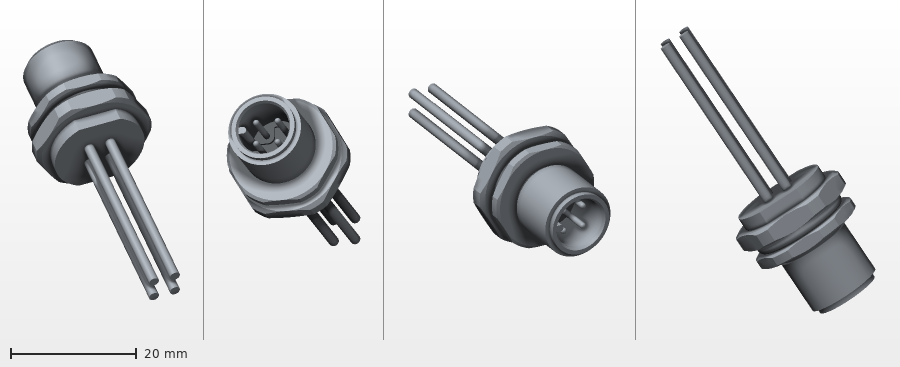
import cadquery as cq
import math


nose_end = 1.0
body_end = 10.0
front_nut_start = 11.0
front_nut_end = 13.0
rear_nut_start = 14.8
rear_nut_end = 17.8
collar_end = 20.0
total_length = 50.0

nose_radius = 5.2
body_radius = 6.0
neck_radius = 5.4

front_nut_flats = 17.0
front_nut_radius = 9.0
rear_nut_flats = 18.0
rear_nut_radius = 9.75
nut_chamfer_angle = math.radians(30)

ring_thickness = rear_nut_start - front_nut_end
ring_outer_radius = 7.9
ring_center_radius = ring_outer_radius - ring_thickness / 2

collar_radius = 7.6
collar_flats = 13.5

socket_radius = 4.2
socket_mouth_radius = 4.5
mouth_depth = 0.5
socket_floor = 9.0

cross_reach = 3.25
cross_width = 1.1
cross_fillet = 1.1
cross_depth = 0.5

key_start = mouth_depth
key_width = cross_width
key_inner = 2.9
key_root = (socket_radius + nose_radius) / 2

pitch_radius = 2.5
contact_offset = pitch_radius * math.sin(math.radians(45))
pin_radius = 0.5
pin_start = 2.0
wire_diameter = 1.65


def rod(radius, start, end, y=0, z=0):
    """Round bar parallel to X."""
    return cq.Workplane("YZ", origin=(start, y, z)).circle(radius).extrude(end - start)


def revolve_about_axis(profile):
    """Turn a closed (X, radius) profile about the X axis."""
    return profile.close().revolve(360, (0, 0, 0), (1, 0, 0))


def hex_nut(start, end, across_flats, corner_radius):
    """Hexagon with flats facing +Z and -Z, its corners turned round and chamfered."""
    face_radius = across_flats / 2
    chamfer = (corner_radius - face_radius) * math.tan(nut_chamfer_angle)
    corner_diameter = across_flats / math.cos(math.radians(30))
    plane = cq.Workplane("YZ", origin=(start, 0, 0))
    hexagon = plane.polygon(6, corner_diameter).extrude(end - start)
    turned = revolve_about_axis(
        cq.Workplane("XY")
        .moveTo(start, 0)
        .lineTo(start, face_radius)
        .lineTo(start + chamfer, corner_radius)
        .lineTo(end - chamfer, corner_radius)
        .lineTo(end, face_radius)
        .lineTo(end, 0)
    )
    return hexagon.intersect(turned)


def o_ring():
    """Ring held between the hexagons, filled by the shank that carries it."""
    middle = (front_nut_end + rear_nut_start) / 2
    return revolve_about_axis(
        cq.Workplane("XY")
        .moveTo(front_nut_end, 0)
        .lineTo(front_nut_end, ring_center_radius)
        .threePointArc((middle, ring_outer_radius), (rear_nut_start, ring_center_radius))
        .lineTo(rear_nut_start, 0)
    )


def collar():
    """Round collar with flats facing +Z and -Z."""
    length = collar_end - rear_nut_end
    plane = cq.Workplane("YZ", origin=(rear_nut_end, 0, 0))
    flats = plane.rect(2 * collar_radius, collar_flats).extrude(length)
    return rod(collar_radius, rear_nut_end, collar_end).intersect(flats)


def socket():
    """Blind bore with a tapered mouth."""
    return revolve_about_axis(
        cq.Workplane("XY")
        .lineTo(0, socket_mouth_radius)
        .lineTo(mouth_depth, socket_radius)
        .lineTo(socket_floor, socket_radius)
        .lineTo(socket_floor, 0)
    )


def floor_cross():
    """Cross with rounded inner corners, sunk into the socket floor."""
    plane = cq.Workplane("YZ", origin=(socket_floor, 0, 0))
    upright = plane.rect(cross_width, 2 * cross_reach).extrude(cross_depth)
    level = plane.rect(2 * cross_reach, cross_width).extrude(cross_depth)
    inner_corners = cq.selectors.BoxSelector(
        (socket_floor - cross_depth, -cross_width, -cross_width),
        (socket_floor + 2 * cross_depth, cross_width, cross_width),
    )
    return upright.union(level).edges("|X").edges(inner_corners).fillet(cross_fillet)


def key_rail():
    """Rail on the +Y side with a round inner edge, rooted in the shell wall and the floor."""
    half = key_width / 2
    round_center = key_inner + half
    return (
        cq.Workplane("YZ", origin=(key_start, 0, 0))
        .moveTo(key_root, half)
        .lineTo(round_center, half)
        .threePointArc((key_inner, 0), (round_center, -half))
        .lineTo(key_root, -half)
        .close()
        .extrude(socket_floor + cross_depth - key_start)
    )


def pin(y, z):
    """Contact pin with a domed tip, rooted behind the socket floor."""
    tip_center = pin_start + pin_radius
    dome = cq.Workplane("XY").sphere(pin_radius).translate((tip_center, y, z))
    return rod(pin_radius, tip_center, body_end, y, z).union(dome)


result = rod(nose_radius, 0, nose_end)
result = result.union(rod(body_radius, nose_end, body_end))
result = result.union(rod(neck_radius, body_end, front_nut_start))
result = result.union(hex_nut(front_nut_start, front_nut_end, front_nut_flats, front_nut_radius))
result = result.union(o_ring())
result = result.union(hex_nut(rear_nut_start, rear_nut_end, rear_nut_flats, rear_nut_radius))
result = result.union(collar())

result = result.cut(socket()).cut(floor_cross())
result = result.union(key_rail())

for y in (-contact_offset, contact_offset):
    for z in (-contact_offset, contact_offset):
        result = result.union(pin(y, z))
        result = result.union(rod(wire_diameter / 2, collar_end, total_length, y, z))